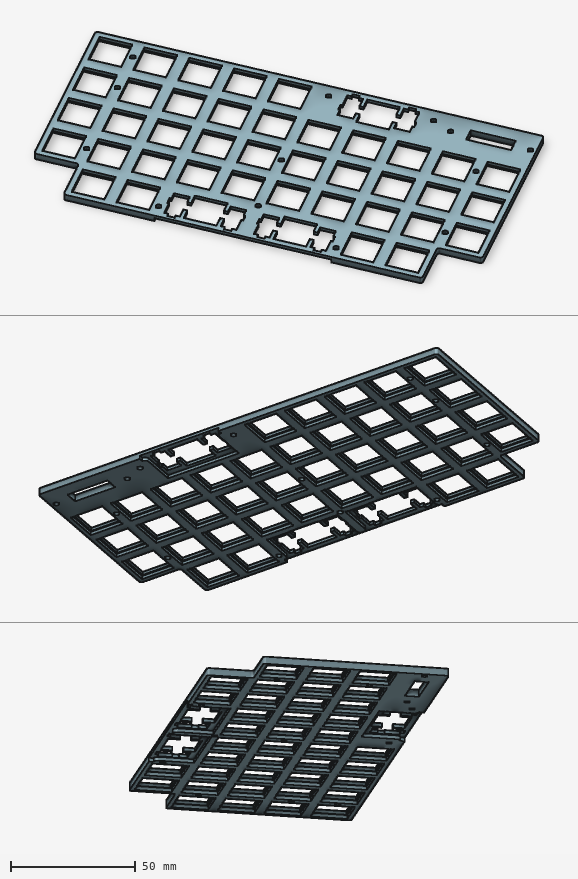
import cadquery as cq

LENGTH = 190.5
DEPTH = 95.2
THICKNESS = 3.0
KEY_PITCH = 19.0
CORNER_RADIUS = 1.24

RELIEF_HEIGHT = THICKNESS / 2

COLUMNS = 10
SWITCH_SIZE = 14.0
SWITCH_RELIEF_SIZE = 15.0

STABILIZER_OFFSET = 12.0
HOUSING_WIDTH = 6.7
HOUSING_BACK = 5.5
HOUSING_FRONT = -6.7
TAB_WIDTH = 3.0
TAB_FRONT = -8.0
CHANNEL_HALF_HEIGHT = 2.3
SIDE_NOTCH_DEPTH = 0.8
SIDE_NOTCH_FRONT = -0.5

POCKET_WIDTH = 33.7
POCKET_INNER_REACH = 8.5
MOUTH_RADIUS = 2.0
MOUTH_DEPTH = 2.0

DISPLAY_X = 171.0
DISPLAY_WIDTH = 19.0
DISPLAY_HEIGHT = 5.7
DISPLAY_TOP_MARGIN = 6.3
DISPLAY_HOLE_SPACING = 34.0

HOLE_DIAMETER = 2.3
FRONT_HOLE_OFFSET = 18.7
BACK_HOLE_OFFSET = 22.3
STABILIZER_HOLE_EDGE = 5.7

FRONT_KEYS_X = [LENGTH / 2 - KEY_PITCH, LENGTH / 2 + KEY_PITCH]
BACK_KEY_X = 123.3

FRONT_POCKET_OFFSET = POCKET_WIDTH / 2 + MOUTH_RADIUS
FRONT_POCKETS_X = [LENGTH / 2 - FRONT_POCKET_OFFSET, LENGTH / 2 + FRONT_POCKET_OFFSET]


def column_x(column):
    return (column + 0.5) * KEY_PITCH


def row_y(row):
    """Centre of a key row, row 0 being the front one."""
    return (row + 0.5) * KEY_PITCH


def block(x_min, x_max, y_min, y_max, height=THICKNESS):
    """Box standing on the underside plane."""
    solid = cq.Workplane("XY").box(x_max - x_min, y_max - y_min, height, centered=False)
    return solid.translate((x_min, y_min, 0))


def make_plate():
    outline = [
        (KEY_PITCH, 0),
        (LENGTH - KEY_PITCH, 0),
        (LENGTH - KEY_PITCH, KEY_PITCH),
        (LENGTH, KEY_PITCH),
        (LENGTH, DEPTH),
        (0, DEPTH),
        (0, KEY_PITCH),
        (KEY_PITCH, KEY_PITCH),
    ]
    plate = cq.Workplane("XY").polyline(outline).close().extrude(THICKNESS)
    return plate.edges("|Z").fillet(CORNER_RADIUS)


def make_switch_windows():
    keys_per_row = {
        0: [1, 2, 7, 8],
        1: range(COLUMNS),
        2: range(COLUMNS),
        3: range(COLUMNS),
        4: range(5),
    }
    centers = [(column_x(c), row_y(row)) for row, columns in keys_per_row.items() for c in columns]
    windows = cq.Workplane("XY").pushPoints(centers)
    reliefs = windows.rect(SWITCH_RELIEF_SIZE, SWITCH_RELIEF_SIZE).extrude(RELIEF_HEIGHT)
    return windows.rect(SWITCH_SIZE, SWITCH_SIZE).extrude(THICKNESS).union(reliefs)


def make_stabilizer_cutout():
    """Switch window, two stabilizer housings and the channel joining them, at the origin."""
    half_switch = SWITCH_SIZE / 2
    half_housing = HOUSING_WIDTH / 2
    half_tab = TAB_WIDTH / 2
    housing_end = STABILIZER_OFFSET + half_housing
    notch_end = housing_end + SIDE_NOTCH_DEPTH
    cutout = block(-half_switch, half_switch, -half_switch, half_switch)
    cutout = cutout.union(block(-housing_end, housing_end, -CHANNEL_HALF_HEIGHT, CHANNEL_HALF_HEIGHT))
    cutout = cutout.union(block(-notch_end, notch_end, SIDE_NOTCH_FRONT, CHANNEL_HALF_HEIGHT))
    for x in (-STABILIZER_OFFSET, STABILIZER_OFFSET):
        cutout = cutout.union(block(x - half_housing, x + half_housing, HOUSING_FRONT, HOUSING_BACK))
        cutout = cutout.union(block(x - half_tab, x + half_tab, TAB_FRONT, HOUSING_BACK))
    return cutout


def make_stabilizer_relief(pockets_x):
    """Flared pockets centred at pockets_x in the front row, open through the front edge."""
    half_width = POCKET_WIDTH / 2
    half_mouth = half_width + MOUTH_RADIUS
    throat_y = MOUTH_DEPTH + MOUTH_RADIUS
    inner_y = row_y(0) + POCKET_INNER_REACH
    relief = block(pockets_x[0] - half_mouth, pockets_x[-1] + half_mouth, 0, MOUTH_DEPTH, RELIEF_HEIGHT)
    for x in pockets_x:
        pocket = (
            cq.Workplane("XY")
            .moveTo(x - half_mouth, MOUTH_DEPTH)
            .radiusArc((x - half_width, throat_y), -MOUTH_RADIUS)
            .lineTo(x - half_width, inner_y)
            .lineTo(x + half_width, inner_y)
            .lineTo(x + half_width, throat_y)
            .radiusArc((x + half_mouth, MOUTH_DEPTH), -MOUTH_RADIUS)
            .close()
            .extrude(RELIEF_HEIGHT)
        )
        relief = relief.union(pocket)
    return relief


def make_stabilizer_row(keys_x, pockets_x):
    """Everything removed in the front row for stabilized keys at keys_x with pockets at pockets_x."""
    row = make_stabilizer_relief(pockets_x)
    for x in keys_x:
        row = row.union(make_stabilizer_cutout().translate((x, row_y(0), 0)))
    return row


def make_display_window():
    display_y = DEPTH - DISPLAY_TOP_MARGIN - DISPLAY_HEIGHT / 2
    return (
        cq.Workplane("XY")
        .center(DISPLAY_X, display_y)
        .rect(DISPLAY_WIDTH, DISPLAY_HEIGHT)
        .extrude(THICKNESS)
    )


def make_fixing_holes():
    left_x = KEY_PITCH
    right_x = LENGTH - KEY_PITCH
    middle_x = LENGTH / 2
    back_hole_y = DEPTH - STABILIZER_HOLE_EDGE
    centers = [
        (left_x, row_y(1)),
        (left_x, row_y(3)),
        (left_x, row_y(4)),
        (right_x, row_y(1)),
        (right_x, row_y(3)),
        (middle_x, row_y(2)),
        (middle_x, KEY_PITCH),
        (FRONT_KEYS_X[0] - FRONT_HOLE_OFFSET, STABILIZER_HOLE_EDGE),
        (FRONT_KEYS_X[-1] + FRONT_HOLE_OFFSET, STABILIZER_HOLE_EDGE),
        (BACK_KEY_X - BACK_HOLE_OFFSET, back_hole_y),
        (BACK_KEY_X + BACK_HOLE_OFFSET, back_hole_y),
        (DISPLAY_X - DISPLAY_HOLE_SPACING / 2, row_y(4)),
        (DISPLAY_X + DISPLAY_HOLE_SPACING / 2, row_y(4)),
    ]
    return cq.Workplane("XY").pushPoints(centers).circle(HOLE_DIAMETER / 2).extrude(THICKNESS)


front_stabilizers = make_stabilizer_row(FRONT_KEYS_X, FRONT_POCKETS_X)
plate_center = (LENGTH / 2, DEPTH / 2, 0)
plate_center_top = (LENGTH / 2, DEPTH / 2, THICKNESS)
turned_back_x = [LENGTH - BACK_KEY_X]
back_stabilizer = make_stabilizer_row(turned_back_x, turned_back_x)
back_stabilizer = back_stabilizer.rotate(plate_center, plate_center_top, 180)

result = (
    make_plate()
    .cut(make_switch_windows())
    .cut(front_stabilizers)
    .cut(back_stabilizer)
    .cut(make_display_window())
    .cut(make_fixing_holes())
)